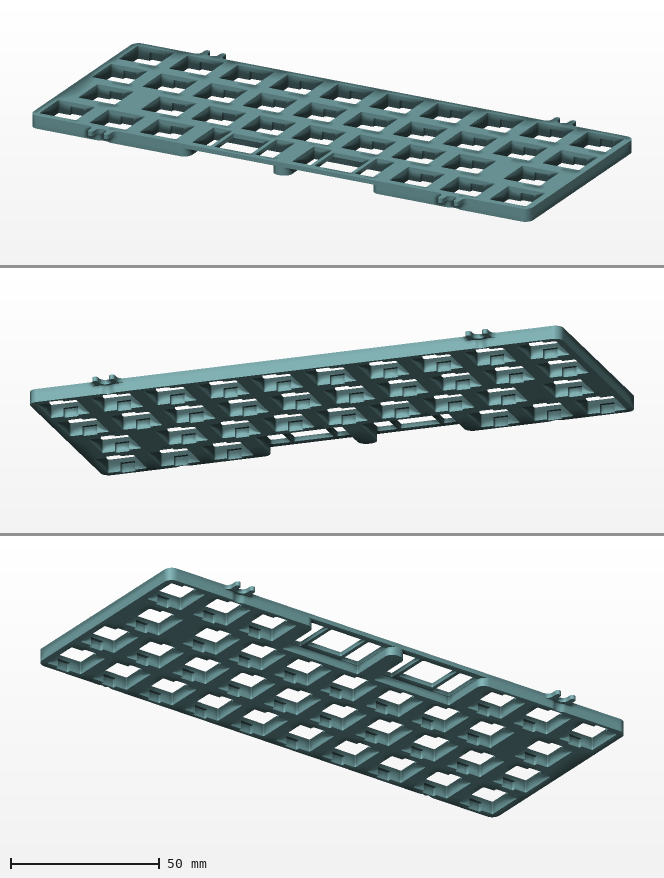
import cadquery as cq
KEY_PITCH = 19.05
COLUMNS = 10
ROWS = 4
EDGE_CLEARANCE = 0.025

LENGTH = COLUMNS * KEY_PITCH - 2 * EDGE_CLEARANCE
WIDTH = ROWS * KEY_PITCH - 2 * EDGE_CLEARANCE
BACK_EDGE_Y = WIDTH / 2
THICKNESS = 4.7
OUTER_RADIUS = 3.0

TOP_LAYER = 1.6
LOWER_HEIGHT = THICKNESS - TOP_LAYER

SWITCH_SIZE = 14.0
INNER_RADIUS = 0.5
CLIP_WIDTH = 5.1
CLIP_DEPTH = 1.25

STABILIZER_OFFSET = 11.938
STABILIZER_WIDTH = 7.1
STABILIZER_RISE = 2.0

RELIEF_WIDTH = 31.3
RELIEF_RISE = STABILIZER_RISE + 0.3

TAB_X = 3.5 * KEY_PITCH
TAB_TIP_Y = 85.65 / 2
TAB_WIDTH = 8.0
TAB_ROOT_RADIUS = 2.0
TAB_OVERLAP = 1.0
FORK_RADIUS = 2.0
FORK_CENTRE_Y = BACK_EDGE_Y + 2.5
PRONG_RADIUS = (TAB_WIDTH / 2 - FORK_RADIUS) / 2

GROOVE_RADIUS = 3.2


def column_x(column):
    """Centre of a key, counted in key widths from the first key at the -X edge."""
    return (column - (COLUMNS - 1) / 2) * KEY_PITCH


def row_y(row):
    """Centre of a key row, counted from the row at the +Y edge."""
    return ((ROWS - 1) / 2 - row) * KEY_PITCH


SINGLE_KEY_COLUMNS = [
    list(range(COLUMNS)),
    list(range(COLUMNS)),
    [0.25] + [column + 0.5 for column in range(1, 8)] + [8.75],
    [0, 1, 2, 7, 8, 9],
]
DOUBLE_KEY_COLUMNS = [3.5, 5.5]
DOUBLE_KEY_Y = row_y(ROWS - 1)


def rounded_block(x_size, y_size, height, radius):
    """Block standing on Z = 0, centred in X and Y, with rounded vertical edges."""
    block = cq.Workplane("XY").box(x_size, y_size, height, centered=(True, True, False))
    return block.edges("|Z").fillet(radius)


def forked_tab():
    """Tab on the +Y edge, centred on X = 0, in the top layer."""
    half_width = TAB_WIDTH / 2
    root_half_width = half_width + TAB_ROOT_RADIUS
    root_y = BACK_EDGE_Y + TAB_ROOT_RADIUS
    inner_y = BACK_EDGE_Y - TAB_OVERLAP
    tip_centre_y = TAB_TIP_Y - PRONG_RADIUS
    tip_x = FORK_RADIUS + PRONG_RADIUS
    return (
        cq.Workplane("XY")
        .workplane(offset=LOWER_HEIGHT)
        .moveTo(-root_half_width, inner_y)
        .lineTo(root_half_width, inner_y)
        .lineTo(root_half_width, BACK_EDGE_Y)
        .radiusArc((half_width, root_y), TAB_ROOT_RADIUS)
        .lineTo(half_width, tip_centre_y)
        .threePointArc((tip_x, TAB_TIP_Y), (FORK_RADIUS, tip_centre_y))
        .lineTo(FORK_RADIUS, FORK_CENTRE_Y)
        .threePointArc((0, FORK_CENTRE_Y - FORK_RADIUS), (-FORK_RADIUS, FORK_CENTRE_Y))
        .lineTo(-FORK_RADIUS, tip_centre_y)
        .threePointArc((-tip_x, TAB_TIP_Y), (-half_width, tip_centre_y))
        .lineTo(-half_width, root_y)
        .radiusArc((-root_half_width, BACK_EDGE_Y), TAB_ROOT_RADIUS)
        .close()
        .extrude(TOP_LAYER)
    )


def edge_groove():
    """Arc-shaped groove in the lower +Y edge, flared with tangent arcs, centred on X = 0."""
    flare_y = BACK_EDGE_Y - OUTER_RADIUS
    centre_distance = GROOVE_RADIUS + OUTER_RADIUS
    rise = FORK_CENTRE_Y - flare_y
    mouth_x = (centre_distance**2 - rise**2) ** 0.5
    tangent_x = mouth_x * GROOVE_RADIUS / centre_distance
    tangent_y = FORK_CENTRE_Y - rise * GROOVE_RADIUS / centre_distance
    return (
        cq.Workplane("XY")
        .moveTo(mouth_x, BACK_EDGE_Y)
        .radiusArc((tangent_x, tangent_y), -OUTER_RADIUS)
        .threePointArc((0, FORK_CENTRE_Y - GROOVE_RADIUS), (-tangent_x, tangent_y))
        .radiusArc((-mouth_x, BACK_EDGE_Y), -OUTER_RADIUS)
        .close()
        .extrude(LOWER_HEIGHT)
    )


def switch_opening():
    """Through opening of one switch."""
    return rounded_block(SWITCH_SIZE, SWITCH_SIZE, THICKNESS, INNER_RADIUS)


def clipped_switch_opening():
    """Switch opening with clip notches in its +Y and -Y walls, below the top layer."""
    notches = rounded_block(CLIP_WIDTH, SWITCH_SIZE + 2 * CLIP_DEPTH, LOWER_HEIGHT, INNER_RADIUS)
    return switch_opening().union(notches)


def double_key_opening():
    """Switch opening, two stabilizer openings and the relief below them, centred on X = 0."""
    front_y = -BACK_EDGE_Y - DOUBLE_KEY_Y
    half_width = RELIEF_WIDTH / 2
    mouth_half_width = half_width + OUTER_RADIUS
    relief_y = SWITCH_SIZE / 2 + RELIEF_RISE
    relief = (
        cq.Workplane("XY")
        .moveTo(-half_width, relief_y)
        .lineTo(half_width, relief_y)
        .lineTo(half_width, front_y + OUTER_RADIUS)
        .radiusArc((mouth_half_width, front_y), -OUTER_RADIUS)
        .lineTo(-mouth_half_width, front_y)
        .radiusArc((-half_width, front_y + OUTER_RADIUS), -OUTER_RADIUS)
        .close()
        .extrude(LOWER_HEIGHT)
        .edges("|Z and >Y")
        .fillet(INNER_RADIUS)
    )
    stabilizer = rounded_block(
        STABILIZER_WIDTH, SWITCH_SIZE + STABILIZER_RISE, THICKNESS, INNER_RADIUS
    )
    opening = relief.union(switch_opening())
    for side in (-1, 1):
        opening = opening.union(
            stabilizer.translate((side * STABILIZER_OFFSET, STABILIZER_RISE / 2, 0))
        )
    return opening


def add_tabs(plate):
    """Add the four tabs and cut the groove below each."""
    tab = forked_tab()
    groove = edge_groove()
    for x in (-TAB_X, TAB_X):
        for edge_tab, tab_groove in ((tab, groove), (tab.mirror("XZ"), groove.mirror("XZ"))):
            plate = plate.union(edge_tab.translate((x, 0, 0)))
            plate = plate.cut(tab_groove.translate((x, 0, 0)))
    return plate


def cut_keys(plate):
    """Cut the openings of all single-width and double-width keys."""
    single = clipped_switch_opening()
    for row, columns in enumerate(SINGLE_KEY_COLUMNS):
        for column in columns:
            plate = plate.cut(single.translate((column_x(column), row_y(row), 0)))
    double = double_key_opening()
    for column in DOUBLE_KEY_COLUMNS:
        plate = plate.cut(double.translate((column_x(column), DOUBLE_KEY_Y, 0)))
    return plate


result = rounded_block(LENGTH, WIDTH, THICKNESS, OUTER_RADIUS)
result = add_tabs(result)
result = cut_keys(result)